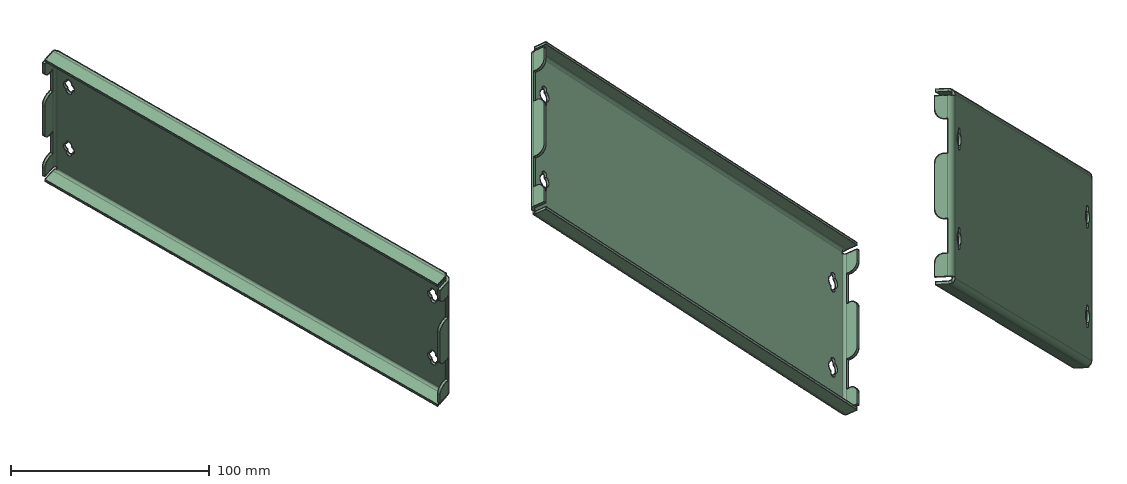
import cadquery as cq


length = 247.0
depth = 10.0
height = 100.0
sheet = 1.5
inner_bend = 1.5
outer_bend = sheet + inner_bend
half_length = length / 2

side_clearance = 3.7
side_height = height - 2 * side_clearance
end_tab_height = 11.9
middle_tab_height = 33.3
tab_radius = 5.0

hole_spacing_x = 226.3
hole_spacing_z = 51.0
hole_diameter = 7.0
slot_width = 3.2
slot_length = 11.4


def block_in_front(size_x, size_z, front_y, rear_y):
    """Box centred in X and Z between two Y positions."""
    return (
        cq.Workplane("XZ", origin=(0, rear_y, 0))
        .rect(size_x, size_z)
        .extrude(rear_y - front_y)
    )


def channel_cavity(size_x, size_z, fold_axis):
    """Space enclosed by a channel, rounded along its two inner bends."""
    cavity_x = size_x if fold_axis == "X" else size_x - 2 * sheet
    cavity_z = size_z if fold_axis == "Z" else size_z - 2 * sheet
    cavity = block_in_front(cavity_x, cavity_z, -depth, -sheet)
    return cavity.edges(f"|{fold_axis} and >Y").fillet(inner_bend)


def channel(size_x, size_z, fold_axis):
    """Plate with two opposite flanges, bent about lines parallel to the fold axis."""
    outside = block_in_front(size_x, size_z, -depth, 0)
    rounded = outside.edges(f"|{fold_axis} and >Y").fillet(outer_bend)
    return rounded.cut(channel_cavity(size_x, size_z, fold_axis))


def long_channel():
    """Plate with the top and bottom flanges, trimmed to fit inside the bends of the side flanges."""
    flat_region = block_in_front(length - 2 * outer_bend, height, -depth, 0)
    inside_region = flat_region.union(channel_cavity(length, height, "Z"))
    return channel(length, height, "X").intersect(inside_region)


def tab_gap():
    """Opening between the middle tab and the upper tab, widening where their corners are rounded."""
    bottom = middle_tab_height / 2
    top = side_height / 2 - end_tab_height
    arc_start_y = tab_radius - depth
    return (
        cq.Workplane("YZ")
        .moveTo(-outer_bend, bottom)
        .lineTo(arc_start_y, bottom)
        .radiusArc((-depth, bottom - tab_radius), -tab_radius)
        .lineTo(-depth, top + tab_radius)
        .radiusArc((arc_start_y, top), -tab_radius)
        .lineTo(-outer_bend, top)
        .close()
        .extrude(half_length, both=True)
    )


def side_channel():
    """Plate with the two side flanges, each cut back to three tabs."""
    gap = tab_gap()
    return channel(length, side_height, "Z").cut(gap).cut(gap.mirror("XY"))


def mounting_holes():
    """Round holes, each crossed by an upright slot."""
    centres = cq.Workplane("XZ").rarray(hole_spacing_x, hole_spacing_z, 2, 2)
    rounds = centres.circle(hole_diameter / 2).extrude(depth)
    slots = centres.slot2D(slot_length, slot_width, 90).extrude(depth)
    return rounds.union(slots)


result = long_channel().union(side_channel()).cut(mounting_holes())